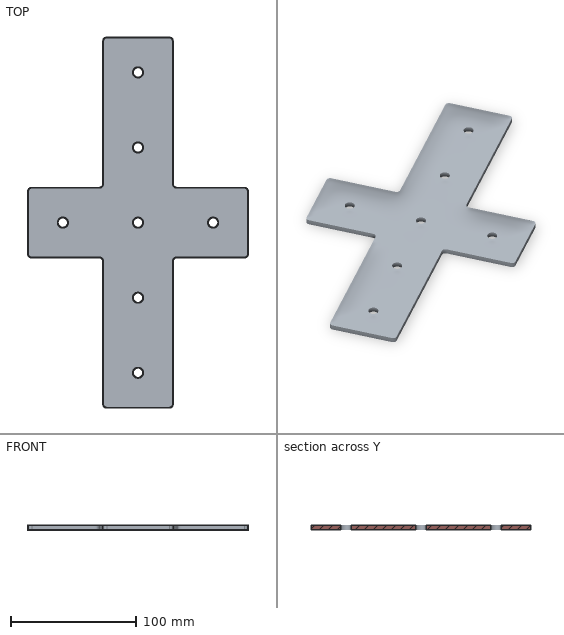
import cadquery as cq

length = 296.0
arm_width = 56.0
thickness = 4.0
corner_radius = 3.0
hole_diameter = 8.0

hole_pitch = (length - arm_width) / 4
cross_length = 2 * hole_pitch + arm_width

long_arm = cq.Workplane("XY").rect(arm_width, length).extrude(thickness)
cross_arm = cq.Workplane("XY").rect(cross_length, arm_width).extrude(thickness)
plate = long_arm.union(cross_arm).edges("|Z").fillet(corner_radius)

hole_centers = [(0, step * hole_pitch) for step in range(-2, 3)]
hole_centers += [(side * hole_pitch, 0) for side in (-1, 1)]

result = plate.faces(">Z").workplane(origin=(0, 0, thickness)).pushPoints(hole_centers).hole(hole_diameter)